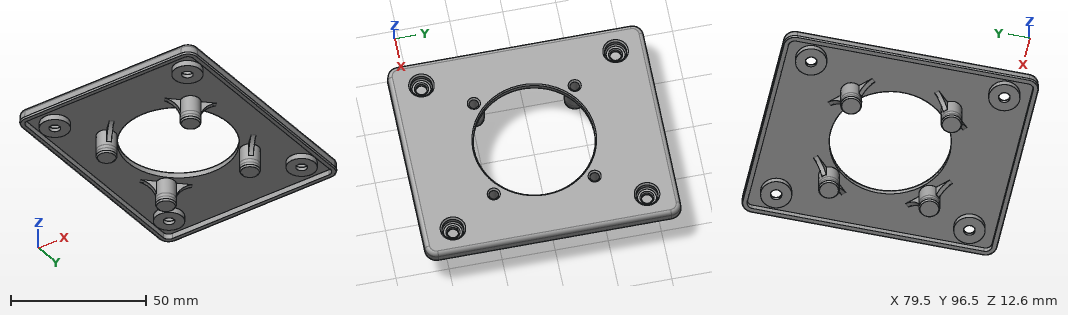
import cadquery as cq
import math

width = 79.5
length = 96.5
plate_height = 4.9
roof_thickness = 2.6
rim_thickness = 1.9
corner_radius = 4.3
side_draft = 3.0
top_edge_radius = 1.6
bottom_bevel_height = 0.8
bottom_bevel_inset = 0.3
roof_underside = plate_height - roof_thickness

opening_radius = 22.6
opening_chamfer = 0.5

mount_spacing_x = 60.0
mount_spacing_y = 73.1
mount_hole_radius = 2.1
mount_hole_chamfer = 0.5
counterbore_radius = 4.05
counterbore_depth = 3.0
counterbore_mouth_chamfer = 0.7
counterbore_floor_bevel = 0.6
mount_pad_radius = 5.8

peg_spacing = 38.0
peg_radius = 3.9
peg_length = 7.7
peg_tip_chamfer = 0.4
peg_tip_chamfer_height = 0.8
snap_ring_top = 4.3
snap_ring_height = 1.4
snap_ring_bulge = 0.1
peg_hole_radius = 1.7
peg_hole_chamfer = 0.7
peg_floor_thickness = 1.9
peg_floor_bevel = 0.8

rib_thickness = 1.8
rib_drop = 2.9
rib_reach = 5.8
rib_edge_sag = 1.0
rib_offset = 0.3


def rounded_plate(size_x, size_y, height, radius, taper):
    sketch = cq.Sketch().rect(size_x, size_y).vertices().fillet(radius)
    return cq.Workplane("XY").placeSketch(sketch).extrude(height, taper=taper)


def make_tray():
    upper = rounded_plate(width, length, plate_height - bottom_bevel_height, corner_radius, side_draft)
    upper = upper.faces(">Z").edges().fillet(top_edge_radius)
    bevel_angle = math.degrees(math.atan2(bottom_bevel_inset, bottom_bevel_height))
    bevel = rounded_plate(width, length, bottom_bevel_height, corner_radius, bevel_angle)
    bevel = bevel.rotate((0, 0, 0), (1, 0, 0), 180)
    tray = upper.union(bevel).translate((0, 0, bottom_bevel_height))
    cavity = rounded_plate(
        width - 2 * rim_thickness,
        length - 2 * rim_thickness,
        roof_underside,
        corner_radius - rim_thickness,
        0,
    )
    return tray.cut(cavity)


def make_opening():
    """Cutter for the central opening, chamfered at the top face."""
    flare = opening_radius + opening_chamfer
    return (
        cq.Workplane("XZ")
        .lineTo(opening_radius, 0)
        .lineTo(opening_radius, plate_height - opening_chamfer)
        .lineTo(flare, plate_height)
        .lineTo(0, plate_height)
        .close()
        .revolve(360, (0, 0, 0), (0, 1, 0))
    )


def make_mount_hole():
    """Cutter for one counterbored hole, with its bevels."""
    floor = plate_height - counterbore_depth
    return (
        cq.Workplane("XZ")
        .lineTo(mount_hole_radius, 0)
        .lineTo(mount_hole_radius, floor - mount_hole_chamfer)
        .lineTo(mount_hole_radius + mount_hole_chamfer, floor)
        .lineTo(counterbore_radius - counterbore_floor_bevel, floor)
        .lineTo(counterbore_radius, floor + counterbore_floor_bevel)
        .lineTo(counterbore_radius, plate_height - counterbore_mouth_chamfer)
        .lineTo(counterbore_radius + counterbore_mouth_chamfer, plate_height)
        .lineTo(0, plate_height)
        .close()
        .revolve(360, (0, 0, 0), (0, 1, 0))
    )


def make_peg():
    """Solid peg with a rounded snap ring and a chamfered tip."""
    ring_bottom = snap_ring_top + snap_ring_height
    ring_middle = snap_ring_top + snap_ring_height / 2
    return (
        cq.Workplane("XZ")
        .moveTo(0, roof_underside)
        .lineTo(peg_radius, roof_underside)
        .lineTo(peg_radius, -snap_ring_top)
        .threePointArc((peg_radius + snap_ring_bulge, -ring_middle), (peg_radius, -ring_bottom))
        .lineTo(peg_radius, -peg_length + peg_tip_chamfer_height)
        .lineTo(peg_radius - peg_tip_chamfer, -peg_length)
        .lineTo(0, -peg_length)
        .close()
        .revolve(360, (0, 0, 0), (0, 1, 0))
    )


def make_peg_ribs():
    """Ribs on both sides of a peg, along X and offset toward +Y, widening up to the roof."""
    outer_end = peg_radius + rib_reach
    return (
        cq.Workplane("XZ")
        .moveTo(-outer_end, roof_underside)
        .lineTo(outer_end, roof_underside)
        .sagittaArc((peg_radius, -rib_drop), -rib_edge_sag)
        .lineTo(-peg_radius, -rib_drop)
        .sagittaArc((-outer_end, roof_underside), -rib_edge_sag)
        .close()
        .extrude(rib_thickness / 2, both=True)
        .translate((0, rib_offset, 0))
    )


def make_peg_hole():
    """Cutter for the blind hole that runs down a peg from the top face."""
    floor = peg_floor_thickness - peg_length
    return (
        cq.Workplane("XZ")
        .moveTo(0, floor)
        .lineTo(peg_hole_radius - peg_floor_bevel, floor)
        .lineTo(peg_hole_radius, floor + peg_floor_bevel)
        .lineTo(peg_hole_radius, plate_height - peg_hole_chamfer)
        .lineTo(peg_hole_radius + peg_hole_chamfer, plate_height)
        .lineTo(0, plate_height)
        .close()
        .revolve(360, (0, 0, 0), (0, 1, 0))
    )


part = make_tray()

for side_x in (-1, 1):
    for side_y in (-1, 1):
        mount = (side_x * mount_spacing_x / 2, side_y * mount_spacing_y / 2, 0)
        mount_pad = cq.Workplane("XY").circle(mount_pad_radius).extrude(roof_underside)
        part = part.union(mount_pad.translate(mount))
        part = part.cut(make_mount_hole().translate(mount))

        peg_place = (side_x * peg_spacing / 2, side_y * peg_spacing / 2, 0)
        rib_angle = math.degrees(math.atan2(side_x, -side_y))
        ribs = make_peg_ribs().rotate((0, 0, 0), (0, 0, 1), rib_angle)
        part = part.union(make_peg().union(ribs).translate(peg_place))
        part = part.cut(make_peg_hole().translate(peg_place))

result = part.cut(make_opening())